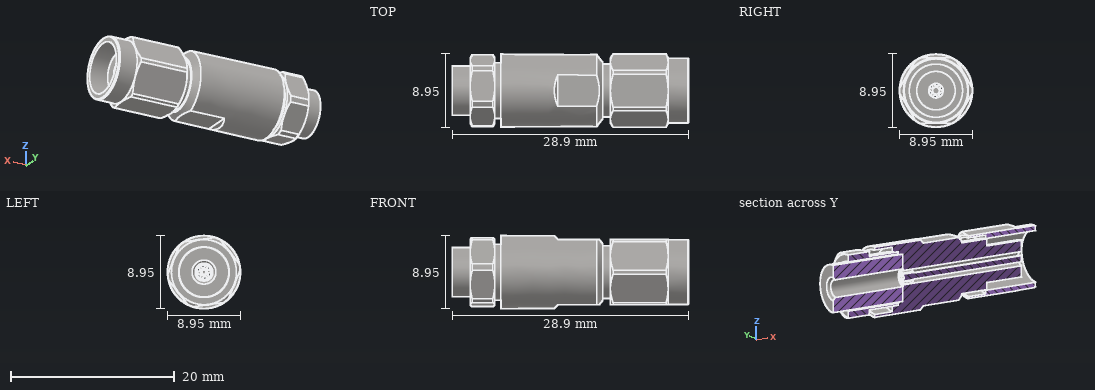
import cadquery as cq
import math


total_length = 28.9
clamp_hex_start = 2.2
clamp_hex_end = 5.24
body_start = 5.95
clamp_shank_end = 9.4
ferrule_end = 10.0
flat_ramp_start = 12.45
shoulder_start = 17.65
shoulder_end = 18.4
coupling_hex_start = 19.3
neck_end = 22.0
coupling_hex_end = 26.38
outer_conductor_end = 26.9

across_flats = 8.0
hex_face_radius = 3.97
clamp_corner_radius = 4.41
clamp_hex_turn = 52.0
clamp_hex_chamfer = 0.26
coupling_corner_radius = 4.475
coupling_rear_chamfer = 0.35
coupling_front_chamfer = 0.26

ferrule_radius = 3.03
ferrule_bore_radius = 1.09
ferrule_mouth_radius = 1.46

clamp_shank_radius = 3.43
ferrule_clearance = 0.06

body_rear_radius = 4.475
body_recess_radius = 4.05
body_recess_depth = 2.5
body_front_radius = 4.42
shoulder_front_radius = 3.45
neck_radius = 3.25
outer_conductor_radius = 2.35
line_bore_radius = 0.87

coupling_end_radius = 3.97
coupling_recess_radius = 3.7
coupling_recess_depth = 2.5
coupling_end_chamfer_length = 0.15
coupling_end_chamfer_depth = 0.1

insulator_length = 1.5
vent_count = 6
vent_radius = 0.27
vent_circle_radius = 0.84
vent_start_angle = 22.0
contact_radius = 0.42
contact_mouth_radius = 0.25
contact_mouth_depth = 0.2


def turned(points):
    """Revolve a closed outline of (x, radius) points about the X axis."""
    return cq.Workplane("XZ").polyline(points).close().revolve(360, (0, 0, 0), (1, 0, 0))


def rod(radius, start, end):
    """Cylinder about the X axis between two positions."""
    return cq.Workplane("YZ", origin=(start, 0, 0)).circle(radius).extrude(end - start)


def hexagon(start, end, corner_radius, rear_chamfer, front_chamfer, turn):
    """Hexagonal bar with rounded corners and chamfered ends; a corner points at `turn` degrees from +Y."""
    corner_diameter = across_flats / math.cos(math.radians(30))
    bar = (
        cq.Workplane("YZ", origin=(start, 0, 0))
        .polygon(6, corner_diameter)
        .extrude(end - start)
        .rotate((0, 0, 0), (1, 0, 0), turn)
    )
    envelope = turned([
        (start, 0),
        (start, hex_face_radius),
        (start + rear_chamfer, corner_radius),
        (end - front_chamfer, corner_radius),
        (end, hex_face_radius),
        (end, 0),
    ])
    return bar.intersect(envelope)


def make_ferrule():
    """Cable tube with a 45 degree lead-in."""
    lead_in = ferrule_mouth_radius - ferrule_bore_radius
    return turned([
        (0, ferrule_mouth_radius),
        (0, ferrule_radius),
        (ferrule_end, ferrule_radius),
        (ferrule_end, ferrule_bore_radius),
        (lead_in, ferrule_bore_radius),
    ])


def make_clamp_nut():
    """Hexagonal nut whose round shank enters the body."""
    head = hexagon(
        clamp_hex_start, clamp_hex_end, clamp_corner_radius,
        clamp_hex_chamfer, clamp_hex_chamfer, clamp_hex_turn,
    )
    shank = rod(clamp_shank_radius, clamp_hex_end, clamp_shank_end)
    bore = rod(ferrule_radius + ferrule_clearance, clamp_hex_start, clamp_shank_end)
    return head.union(shank).cut(bore)


def make_wrench_flat_cutter():
    """Material above the upper wrench flat, ending in a 45 degree ramp towards the rear."""
    flat_height = across_flats / 2
    ramp = body_rear_radius - flat_height
    return (
        cq.Workplane("XZ")
        .polyline([
            (flat_ramp_start, body_rear_radius),
            (flat_ramp_start + ramp, flat_height),
            (shoulder_end, flat_height),
            (shoulder_end, body_rear_radius),
        ])
        .close()
        .extrude(body_rear_radius, both=True)
    )


def make_body():
    """Slightly tapered sleeve with two wrench flats, a neck and the outer conductor."""
    recess_end = body_start + body_recess_depth
    sleeve = turned([
        (recess_end, clamp_shank_radius),
        (recess_end, body_recess_radius),
        (body_start, body_recess_radius),
        (body_start, body_rear_radius),
        (shoulder_start, body_front_radius),
        (shoulder_end, shoulder_front_radius),
        (shoulder_end, neck_radius),
        (neck_end, neck_radius),
        (neck_end, outer_conductor_radius),
        (outer_conductor_end, outer_conductor_radius),
        (outer_conductor_end, line_bore_radius),
        (ferrule_end, line_bore_radius),
        (ferrule_end, ferrule_radius),
        (clamp_shank_end, ferrule_radius),
        (clamp_shank_end, clamp_shank_radius),
    ])
    upper = make_wrench_flat_cutter()
    return sleeve.cut(upper).cut(upper.mirror("XY"))


def make_coupling_nut():
    """Hexagonal nut with a round front end, turning on the neck."""
    head = hexagon(
        coupling_hex_start, coupling_hex_end, coupling_corner_radius,
        coupling_rear_chamfer, coupling_front_chamfer, 0,
    )
    front_end = turned([
        (coupling_hex_end, 0),
        (coupling_hex_end, coupling_end_radius),
        (total_length - coupling_end_chamfer_length, coupling_end_radius),
        (total_length, coupling_end_radius - coupling_end_chamfer_depth),
        (total_length, 0),
    ])
    bore = rod(neck_radius, coupling_hex_start, total_length)
    recess = rod(coupling_recess_radius, coupling_hex_start, coupling_hex_start + coupling_recess_depth)
    return head.union(front_end).cut(bore).cut(recess)


def make_insulator():
    """Disc that centres the contact, with vent notches through its rim."""
    disc_end = ferrule_end + insulator_length
    disc = rod(line_bore_radius, ferrule_end, disc_end).cut(rod(contact_radius, ferrule_end, disc_end))
    vents = (
        cq.Workplane("YZ", origin=(ferrule_end, 0, 0))
        .polarArray(vent_circle_radius, vent_start_angle, 360, vent_count)
        .circle(vent_radius)
        .extrude(insulator_length)
    )
    return disc.cut(vents)


def make_contact():
    """Centre rod with a conical mouth facing the cable."""
    return turned([
        (ferrule_end + contact_mouth_depth, 0),
        (ferrule_end, contact_mouth_radius),
        (ferrule_end, contact_radius),
        (outer_conductor_end, contact_radius),
        (outer_conductor_end, 0),
    ])


ferrule = make_ferrule()
clamp_nut = make_clamp_nut()
body = make_body()
coupling_nut = make_coupling_nut()
insulator = make_insulator()
contact = make_contact()

result = cq.Compound.makeCompound([
    ferrule.val(),
    clamp_nut.val(),
    body.val(),
    coupling_nut.val(),
    insulator.val(),
    contact.val(),
])